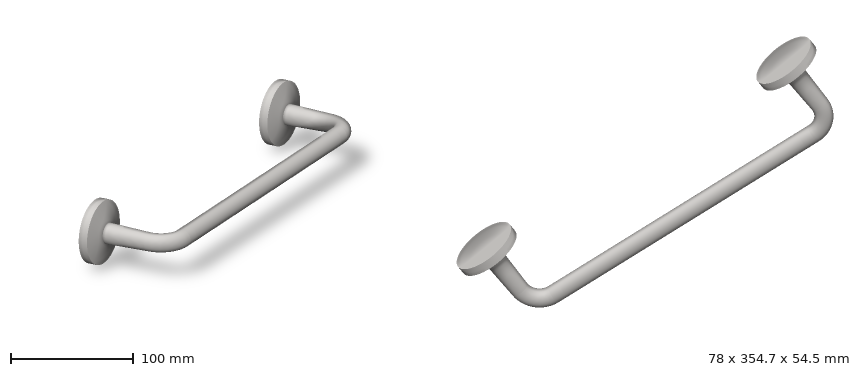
import cadquery as cq

overall_length = 354.7
rosette_diameter = 54.5
bar_diameter = 15.5
overall_depth = 78.0

rosette_radius = rosette_diameter / 2
bar_radius = bar_diameter / 2
bar_axis_x = overall_depth - bar_radius
post_axis_y = overall_length / 2 - rosette_radius

base_thickness = 7.8
cover_front_x = 12.0

post_root_radius = 9.0
bend_radius = 20.0
stub_length = 10.0

bend_start_x = bar_axis_x - bend_radius
bend_end_y = post_axis_y - bend_radius
bar_end_y = bend_end_y - stub_length


def make_base_disc(side):
    """Flat disc against the wall; side is +1 or -1 along Y."""
    return (
        cq.Workplane("YZ")
        .center(side * post_axis_y, 0)
        .circle(rosette_radius)
        .extrude(base_thickness)
    )


def make_cover(side):
    """Cone that narrows from the disc to the post."""
    profile = [
        (base_thickness, 0),
        (base_thickness, rosette_radius),
        (cover_front_x, post_root_radius),
        (cover_front_x, 0),
    ]
    return (
        cq.Workplane("XY")
        .polyline(profile)
        .close()
        .revolve(360, (0, 0, 0), (1, 0, 0))
        .translate((0, side * post_axis_y, 0))
    )


def make_elbow(side):
    """Tapered post out of the cover, bent through a quarter turn to meet the bar."""
    post = (
        cq.Workplane("YZ", origin=(cover_front_x, side * post_axis_y, 0))
        .circle(post_root_radius)
        .workplane(offset=bend_start_x - cover_front_x)
        .circle(bar_radius)
        .loft(ruled=True)
    )
    path = (
        cq.Workplane("XY")
        .moveTo(bend_start_x, side * post_axis_y)
        .radiusArc((bar_axis_x, side * bend_end_y), side * bend_radius)
        .lineTo(bar_axis_x, side * bar_end_y)
    )
    bend = (
        cq.Workplane("YZ", origin=(bend_start_x, side * post_axis_y, 0))
        .circle(bar_radius)
        .sweep(path)
    )
    return post.union(bend).solids()


def make_bar():
    """Straight round bar between the two elbows."""
    return (
        cq.Workplane("XZ", origin=(bar_axis_x, bar_end_y, 0))
        .circle(bar_radius)
        .extrude(2 * bar_end_y)
    )


bodies = [make_bar().val()]
for side in (1, -1):
    bodies.append(make_base_disc(side).val())
    bodies.append(make_cover(side).val())
    bodies.append(make_elbow(side).val())

result = cq.Compound.makeCompound(bodies)